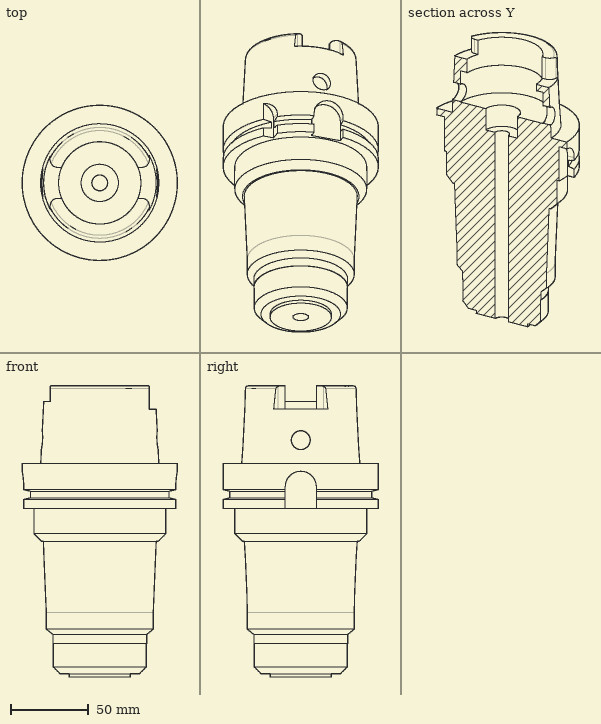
import cadquery as cq
import math


shank_length = 50.0
taper_slope = 0.05
shank_base_radius = 38.1
shank_tip_radius = shank_base_radius - taper_slope * shank_length
rim_round = 2.0

slot_width = 20.0
slot_corner_radius = 4.7
left_slot_floor = 40.0
right_slot_floor = 35.0

mouth_radius = 26.5
mouth_bottom = 30.3
cavity_radius = 31.5
cavity_floor = 8.7
socket_radius = 12.0
socket_depth = 15.0
coolant_hole_radius = 5.0

cross_hole_radius = 6.0
cross_hole_height = 15.0

flange_radius = 50.0
flange_bottom = -29.0
groove_radius = 45.8
groove_center = -20.0
groove_mouth_width = 6.2
groove_floor_width = 4.2

notch_width = 20.0
notch_top = -5.0
key_notch_floor = 44.0
orientation_notch_floor = 32.0
orientation_notch_side = 31.5

collar_radius = 42.5
collar_bottom = -45.2
collar_chamfer = 5.0
body_top = collar_bottom - collar_chamfer
body_top_radius = 36.4
body_radius = 34.5
body_taper_bottom = -96.0
body_bottom = -106.6
nose_top = -110.1
nose_radius = 30.25
nut_top = -115.8
nut_radius = 30.0
nose_chamfer_top = -130.9
nose_chamfer = 4.4
nose_bottom = nose_chamfer_top - nose_chamfer
end_boss_radius = 19.75
overall_length = 187.4
part_bottom = shank_length - overall_length


def revolve_profile(points):
    """Turn (radius, height) points into a solid of revolution about Z."""
    return cq.Workplane("XZ").polyline(points).close().revolve(360, (0, 0), (0, 1))


def make_shank():
    shank = revolve_profile([
        (0, 0),
        (shank_base_radius, 0),
        (shank_tip_radius, shank_length),
        (0, shank_length),
    ])
    return shank.faces(">Z").edges().fillet(rim_round)


def make_flange_and_body():
    half_mouth = groove_mouth_width / 2
    half_floor = groove_floor_width / 2
    return revolve_profile([
        (0, 0),
        (flange_radius, 0),
        (flange_radius, groove_center + half_mouth),
        (groove_radius, groove_center + half_floor),
        (groove_radius, groove_center - half_floor),
        (flange_radius, groove_center - half_mouth),
        (flange_radius, flange_bottom),
        (collar_radius, flange_bottom),
        (collar_radius, collar_bottom),
        (collar_radius - collar_chamfer, body_top),
        (body_top_radius, body_top),
        (body_radius, body_taper_bottom),
        (body_radius, body_bottom),
        (nose_radius, nose_top),
        (nose_radius, nut_top),
        (nut_radius, nut_top),
        (nut_radius, nose_chamfer_top),
        (nut_radius - nose_chamfer, nose_bottom),
        (end_boss_radius, nose_bottom),
        (end_boss_radius, part_bottom),
        (0, part_bottom),
    ])


def make_bore():
    """Clamping cavity, coolant tube socket and the coolant hole through the part."""
    socket_floor = cavity_floor - socket_depth
    return revolve_profile([
        (0, shank_length),
        (mouth_radius, shank_length),
        (mouth_radius, mouth_bottom),
        (cavity_radius, mouth_bottom),
        (cavity_radius, cavity_floor),
        (socket_radius, cavity_floor),
        (socket_radius, socket_floor),
        (coolant_hole_radius, socket_floor),
        (coolant_hole_radius, part_bottom),
        (0, part_bottom),
    ])


def make_drive_slot(side, floor):
    """Slot from the axis outward along side * X, flaring round its outer corners."""
    half_width = slot_width / 2
    corner_y = half_width + slot_corner_radius
    corner_x = math.sqrt((shank_tip_radius - slot_corner_radius) ** 2 - corner_y ** 2)
    flare_x = corner_x + slot_corner_radius
    arc_mid_x = corner_x + slot_corner_radius * math.sin(math.pi / 4)
    arc_mid_y = corner_y - slot_corner_radius * math.cos(math.pi / 4)
    outside_x = shank_base_radius
    return (
        cq.Workplane("XY")
        .workplane(offset=floor)
        .moveTo(0, half_width)
        .lineTo(side * corner_x, half_width)
        .threePointArc((side * arc_mid_x, arc_mid_y), (side * flare_x, corner_y))
        .lineTo(side * flare_x, shank_tip_radius)
        .lineTo(side * outside_x, shank_tip_radius)
        .lineTo(side * outside_x, -shank_tip_radius)
        .lineTo(side * flare_x, -shank_tip_radius)
        .lineTo(side * flare_x, -corner_y)
        .threePointArc((side * arc_mid_x, -arc_mid_y), (side * corner_x, -half_width))
        .lineTo(0, -half_width)
        .close()
        .extrude(shank_length - floor)
    )


def make_flange_notch(side, floor_x, center_y):
    """Round-topped notch open at the flange bottom, cut inward to side * floor_x."""
    half_width = notch_width / 2
    return (
        cq.Workplane("YZ")
        .workplane(offset=side * floor_x)
        .moveTo(center_y - half_width, flange_bottom)
        .lineTo(center_y - half_width, notch_top - half_width)
        .threePointArc((center_y, notch_top), (center_y + half_width, notch_top - half_width))
        .lineTo(center_y + half_width, flange_bottom)
        .close()
        .extrude(side * (flange_radius - floor_x))
    )


def make_cross_hole():
    return (
        cq.Workplane("YZ")
        .center(0, cross_hole_height)
        .circle(cross_hole_radius)
        .extrude(flange_radius, both=True)
    )


result = make_shank().union(make_flange_and_body())
result = result.cut(make_bore())
result = result.cut(make_drive_slot(-1, left_slot_floor))
result = result.cut(make_drive_slot(1, right_slot_floor))
result = result.cut(make_cross_hole())
for notch_side in (-1, 1):
    result = result.cut(make_flange_notch(notch_side, key_notch_floor, 0))
orientation_notch_y = orientation_notch_side + notch_width / 2
result = result.cut(make_flange_notch(-1, orientation_notch_floor, orientation_notch_y))